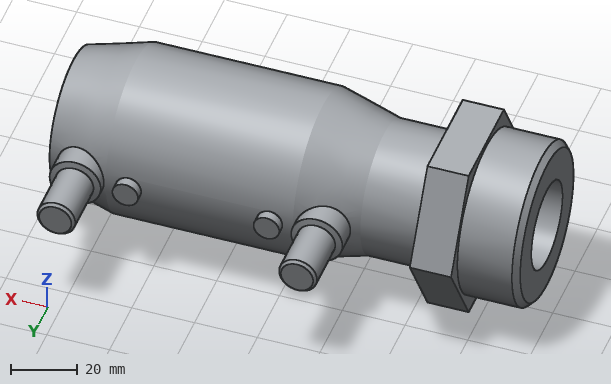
import cadquery as cq
import math

LENGTH = 151.0
HEX_START = 19.3
HEX_END = 32.5
NECK_END = 52.0
BARREL_START = 71.5
BARREL_END = 131.2

SPIGOT_DIAMETER = 52.1
SPIGOT_CHAMFER = 2.0
HEX_ACROSS_FLATS = 55.0
NECK_DIAMETER = 42.6
BARREL_DIAMETER = 53.2
BORE_DIAMETER = 28.1

TERMINAL_POSITIONS = (63.0, 140.0)
TERMINAL_DIAMETER = 12.1
TERMINAL_REACH = 47.1
TERMINAL_CHAMFER = 0.9
COLLAR_DIAMETER = 16.3
COLLAR_REACH = 29.7
COLLAR_BEVEL_HEIGHT = 0.5
PIN_POSITIONS = (79.0, 124.0)
PIN_DIAMETER = 8.2
PIN_REACH = 29.5

ROOT_RADIUS = (BORE_DIAMETER / 2 + NECK_DIAMETER / 2) / 2


def make_body():
    """Revolve the spigot, neck and tapered barrel about X."""
    spigot_radius = SPIGOT_DIAMETER / 2
    neck_radius = NECK_DIAMETER / 2
    barrel_radius = BARREL_DIAMETER / 2
    return (
        cq.Workplane("XY")
        .lineTo(0, spigot_radius - SPIGOT_CHAMFER)
        .lineTo(SPIGOT_CHAMFER, spigot_radius)
        .lineTo(HEX_START, spigot_radius)
        .lineTo(HEX_START, neck_radius)
        .lineTo(NECK_END, neck_radius)
        .lineTo(BARREL_START, barrel_radius)
        .lineTo(BARREL_END, barrel_radius)
        .lineTo(LENGTH, neck_radius)
        .lineTo(LENGTH, 0)
        .close()
        .revolve(360, (0, 0, 0), (1, 0, 0))
    )


def make_hex():
    """Wrench hexagon with corners on the Y axis and flats facing up and down."""
    across_corners = HEX_ACROSS_FLATS / math.cos(math.pi / 6)
    return (
        cq.Workplane("YZ", origin=(HEX_START, 0, 0))
        .polygon(6, across_corners)
        .extrude(HEX_END - HEX_START)
    )


def make_side_post(x, diameter, reach):
    """Plain round post along +Y."""
    return (
        cq.Workplane("XZ", origin=(x, ROOT_RADIUS, 0))
        .circle(diameter / 2)
        .extrude(ROOT_RADIUS - reach)
    )


def make_terminal(x):
    """Chamfered stud rising from a collar whose rim slopes gently up to the stud."""
    stud = make_side_post(x, TERMINAL_DIAMETER, TERMINAL_REACH).faces(">Y").chamfer(TERMINAL_CHAMFER)
    bevel_width = (COLLAR_DIAMETER - TERMINAL_DIAMETER) / 2
    collar = (
        make_side_post(x, COLLAR_DIAMETER, COLLAR_REACH)
        .faces(">Y")
        .chamfer(COLLAR_BEVEL_HEIGHT, bevel_width)
    )
    return collar.union(stud)


result = make_body().union(make_hex())
for terminal_x in TERMINAL_POSITIONS:
    result = result.union(make_terminal(terminal_x))
for pin_x in PIN_POSITIONS:
    result = result.union(make_side_post(pin_x, PIN_DIAMETER, PIN_REACH))

result = result.cut(cq.Workplane("YZ").circle(BORE_DIAMETER / 2).extrude(LENGTH))